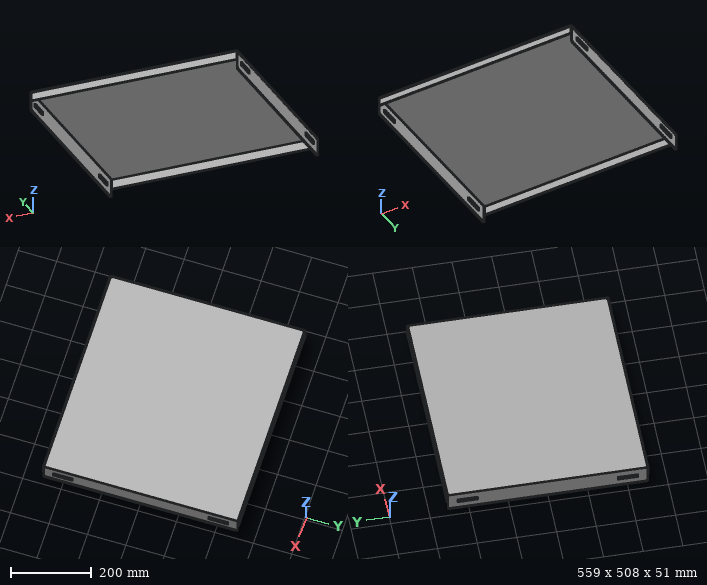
import cadquery as cq

length = 559.0
width = 508.0
side_depth = 51.0
lip_depth = 26.0
thickness = 2.0
bend_radius = 5.0
corner_inset = 2.0
corner_radius = 5.0

slot_length = 50.0
slot_height = 6.5
slot_end_distance = 52.0
slot_y = width / 2 - slot_end_distance
slot_z = side_depth / 2


def rounded_block(span, run, depth, top, radius):
    """Block along Y whose two long top edges are rounded."""
    return (
        cq.Workplane("XY")
        .box(span, run, depth)
        .edges("|Y and >Z")
        .fillet(radius)
        .translate((0, 0, top - depth / 2))
    )


def folded_channel(span, run, depth):
    """Inverted U channel along Y: a flat top between two bent-down flanges."""
    outer = rounded_block(span, run, depth, side_depth, bend_radius)
    inner = rounded_block(
        span - 2 * thickness,
        run,
        depth,
        side_depth - thickness,
        bend_radius - thickness,
    )
    return outer.cut(inner)


side_run = width - 2 * corner_inset
sides = folded_channel(length, side_run, side_depth)
for end in ("<Y", ">Y"):
    sides = sides.faces(end).edges("|X and <Z").fillet(corner_radius)

lips = folded_channel(width, length - 2 * corner_inset, lip_depth)
lips = lips.rotate((0, 0, 0), (0, 0, 1), 90)

slots = (
    cq.Workplane("YZ")
    .pushPoints([(-slot_y, slot_z), (slot_y, slot_z)])
    .rect(slot_length, slot_height)
    .extrude(length / 2, both=True)
)

result = sides.union(lips).cut(slots)